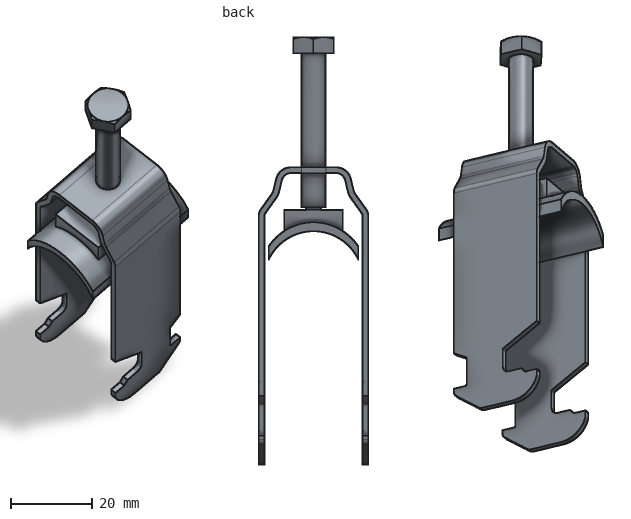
import cadquery as cq
import math

strap_width = 27.0
strap_depth = 23.1
strap_top = 73.1
sheet = 1.5
crown_corner = 8.5
waist_half = 10.0
waist_height = 66.9
shoulder_height = 62.0
crown_radius = 3.8
bend_radius = 2.7

neck_back = 8.0
neck_front = -2.1
neck_top = 14.9
back_leg_end = 16.9
front_leg_end = 20.4
hook_top = 7.1
hook_step_top = 8.3
hook_step_outer = -8.4
hook_step_inner = -7.2
hook_side_bottom = 5.5
sole_back = 4.2
sole_front = -4.8
toe_mid_point = (-9.1, 1.6)
neck_fillet = 1.7
small_fillet = 0.4
heel_fillet = 1.6

bolt_top = 105.0
head_height = 4.0
head_across_flats = 10.0
head_chamfer_angle = 30.0
shank_diameter = 6.0
shank_end = 63.2
tip_diameter = 3.8

saddle_width = 22.0
saddle_length = 34.0
saddle_top = 59.5
saddle_thickness = 2.2
saddle_outer_radius = 13.2
saddle_inner_radius = 12.2
block_width = 14.5
block_length = 22.0
block_top = 62.6


def leg_outline():
    """Solid along X whose YZ section is the leg with its hooked foot."""
    half_depth = strap_depth / 2
    profile = (
        cq.Workplane("YZ")
        .moveTo(half_depth, strap_top)
        .lineTo(half_depth, back_leg_end)
        .lineTo(neck_back, neck_top)
        .lineTo(neck_back, hook_top)
        .lineTo(half_depth, hook_top)
        .lineTo(half_depth, hook_side_bottom)
        .lineTo(sole_back, 0)
        .lineTo(sole_front, 0)
        .threePointArc(toe_mid_point, (-half_depth, hook_side_bottom))
        .lineTo(-half_depth, hook_top)
        .lineTo(hook_step_outer, hook_top)
        .lineTo(hook_step_inner, hook_step_top)
        .lineTo(neck_front, hook_step_top)
        .lineTo(neck_front, neck_top)
        .lineTo(-half_depth, front_leg_end)
        .lineTo(-half_depth, strap_top)
        .close()
        .extrude(strap_width / 2, both=True)
    )
    corner_fillets = [
        ((neck_back, neck_top), small_fillet),
        ((neck_back, hook_top), small_fillet),
        ((neck_front, neck_top), small_fillet),
        ((neck_front, hook_step_top), neck_fillet),
        ((half_depth, hook_side_bottom), heel_fillet),
        ((sole_back, 0), heel_fillet),
    ]
    for (y, z), radius in corner_fillets:
        corner = cq.selectors.NearestToPointSelector((0, y, z))
        profile = profile.edges("|X").edges(corner).fillet(radius)
    return profile


def make_strap():
    """Bent sheet with crown, waist and shoulders, trimmed to the leg outline."""
    half_width = strap_width / 2
    right_side = [
        (half_width, 0),
        (half_width, shoulder_height),
        (waist_half, waist_height),
        (crown_corner, strap_top),
    ]
    left_side = [(-x, z) for x, z in reversed(right_side)]
    envelope = (
        cq.Workplane("XZ")
        .polyline(right_side + left_side)
        .close()
        .extrude(strap_depth / 2, both=True)
    )
    bends = [bend_radius, bend_radius, crown_radius]
    for (x, z), radius in zip(right_side[1:], bends):
        for side in (-1, 1):
            corner = cq.selectors.NearestToPointSelector((side * x, 0, z))
            envelope = envelope.edges("|Y").edges(corner).fillet(radius)
    sheet_body = envelope.faces("|Y or <Z").shell(-sheet)
    bolt_hole = (
        cq.Workplane("XY")
        .workplane(offset=shank_end)
        .circle(shank_diameter / 2)
        .extrude(bolt_top - shank_end)
    )
    return sheet_body.intersect(leg_outline()).cut(bolt_hole)


def make_bolt():
    """Hexagon bolt with points along Y, a plain shank and a narrow tip."""
    head_bottom = bolt_top - head_height
    across_corners = head_across_flats / math.cos(math.radians(30))
    head = (
        cq.Workplane("XY")
        .workplane(offset=head_bottom)
        .polygon(6, across_corners)
        .extrude(head_height)
        .rotate((0, 0, 0), (0, 0, 1), 30)
    )
    corner_radius = across_corners / 2
    chamfer_drop = (corner_radius - head_across_flats / 2) * math.tan(math.radians(head_chamfer_angle))
    crown = (
        cq.Workplane("XZ")
        .moveTo(0, head_bottom)
        .lineTo(corner_radius, head_bottom)
        .lineTo(corner_radius, bolt_top - chamfer_drop)
        .lineTo(head_across_flats / 2, bolt_top)
        .lineTo(0, bolt_top)
        .close()
        .revolve(360, (0, 0), (0, 1))
    )
    shank = (
        cq.Workplane("XY")
        .workplane(offset=shank_end)
        .circle(shank_diameter / 2)
        .extrude(head_bottom - shank_end)
    )
    tip = (
        cq.Workplane("XY")
        .workplane(offset=block_top)
        .circle(tip_diameter / 2)
        .extrude(shank_end - block_top)
    )
    return head.intersect(crown).union(shank).union(tip)


def arc_height(apex, radius, x):
    """Height at x of an arc that peaks at the given apex on the Z axis."""
    return apex - radius + math.sqrt(radius**2 - x**2)


def make_pressure_plate():
    """Arched saddle with upright ends and a block on its crest."""
    half_width = saddle_width / 2
    saddle_underside = saddle_top - saddle_thickness
    outer_end = arc_height(saddle_top, saddle_outer_radius, half_width)
    inner_end = arc_height(saddle_underside, saddle_inner_radius, half_width)
    saddle = (
        cq.Workplane("XZ")
        .moveTo(-half_width, outer_end)
        .threePointArc((0, saddle_top), (half_width, outer_end))
        .lineTo(half_width, inner_end)
        .threePointArc((0, saddle_underside), (-half_width, inner_end))
        .close()
        .extrude(saddle_length / 2, both=True)
    )
    block_half = block_width / 2
    block_end = arc_height(saddle_top, saddle_outer_radius, block_half)
    block = (
        cq.Workplane("XZ")
        .moveTo(-block_half, block_end)
        .threePointArc((0, saddle_top), (block_half, block_end))
        .lineTo(block_half, block_top)
        .lineTo(-block_half, block_top)
        .close()
        .extrude(block_length / 2, both=True)
    )
    return saddle.union(block)


strap = make_strap()
bolt = make_bolt()
pressure_plate = make_pressure_plate()

result = cq.Compound.makeCompound([strap.val(), bolt.val(), pressure_plate.val()])